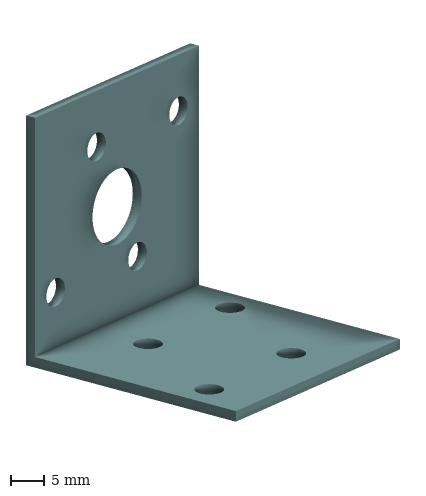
import cadquery as cq

leg_length = 40.0
width = 40.0
thickness = 1.7

screw_diameter = 4.5
screw_margin = 5.0
screw_pitch = 20.0
row_stagger = 10.0
first_row_ys = [screw_margin, screw_margin + screw_pitch]
second_row_ys = [y + row_stagger for y in first_row_ys]

base_near_row_x = 11.5
base_far_row_x = 31.0
base_screws = [(base_near_row_x, y) for y in second_row_ys]
base_screws += [(base_far_row_x, y) for y in first_row_ys]

upright_low_row_z = 10.6
upright_high_row_z = 31.0
upright_screws = [(y, upright_low_row_z) for y in first_row_ys]
upright_screws += [(y, upright_high_row_z) for y in second_row_ys]

opening_diameter = 12.0
opening_center = (width / 2, leg_length / 2)


def plain_angle():
    """L-shaped angle whose outer corner lies on the Y axis."""
    base = cq.Workplane("XY").box(leg_length, width, thickness, centered=False)
    upright = cq.Workplane("XY").box(thickness, width, leg_length, centered=False)
    return base.union(upright)


def through_pins(plane, centers, diameter):
    """Cutting cylinders one leg thickness long, standing on the outer face."""
    return cq.Workplane(plane).pushPoints(centers).circle(diameter / 2).extrude(thickness)


result = (
    plain_angle()
    .cut(through_pins("XY", base_screws, screw_diameter))
    .cut(through_pins("YZ", upright_screws, screw_diameter))
    .cut(through_pins("YZ", [opening_center], opening_diameter))
)